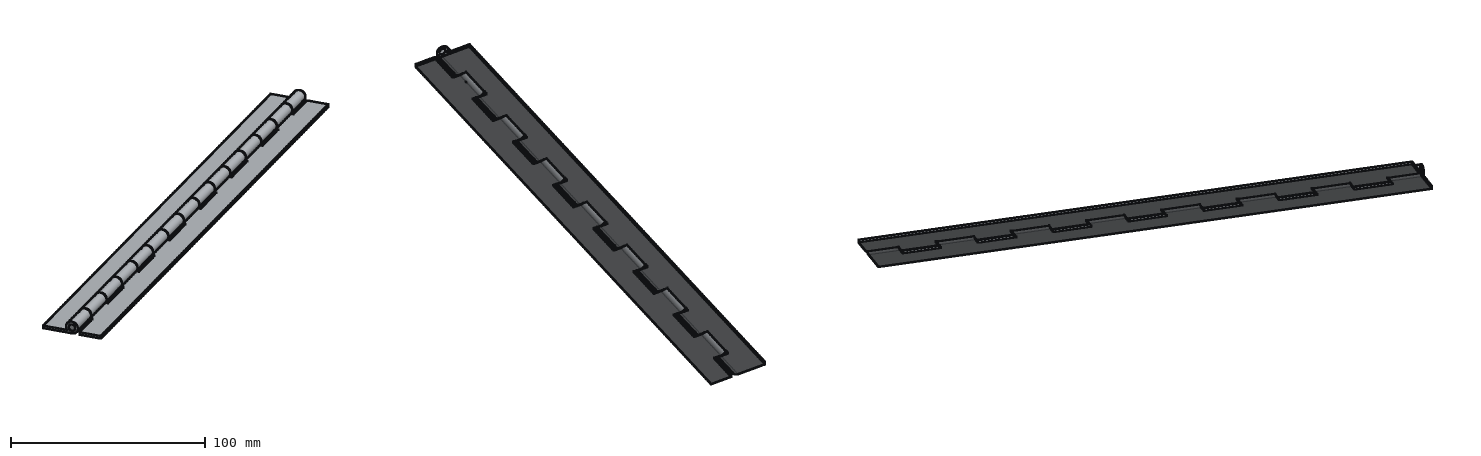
import cadquery as cq

hinge_length = 300.0
hinge_width = 32.0
leaf_thickness = 1.53

pin_diameter = 3.5
knuckle_diameter = pin_diameter + 2 * leaf_thickness
knuckle_radius = knuckle_diameter / 2
pin_height = knuckle_radius

knuckle_count = 15
knuckle_pitch = 20.5
knuckle_gap = 0.4
leaf_clearance = 0.75
notch_half_width = knuckle_radius + leaf_clearance

half_length = hinge_length / 2
end_knuckle_length = (hinge_length - (knuckle_count - 2) * knuckle_pitch - knuckle_gap) / 2


def knuckle_span(index):
    """Return the start and end along Y of one knuckle, counted from the -Y end."""
    slot_start = (index - knuckle_count / 2) * knuckle_pitch
    start = slot_start + knuckle_gap / 2
    end = slot_start + knuckle_pitch - knuckle_gap / 2
    if index == 0:
        start = -half_length
        end = start + end_knuckle_length
    elif index == knuckle_count - 1:
        end = half_length
        start = end - end_knuckle_length
    return start, end


def rod(diameter, start, end):
    """Return a cylinder on the pin axis between two Y positions."""
    face_plane = cq.Plane(origin=(0, start, pin_height), xDir=(1, 0, 0), normal=(0, 1, 0))
    return cq.Workplane(face_plane).circle(diameter / 2).extrude(end - start)


def plate(inner, outer, start, end):
    """Return a flat strip of leaf stock between two X and two Y positions."""
    strip = cq.Workplane("XY").box(outer - inner, end - start, leaf_thickness, centered=False)
    return strip.translate((inner, start, 0))


def make_leaf(first_knuckle):
    """Return the right-hand (+X) leaf carrying every second knuckle from first_knuckle on."""
    leaf = plate(notch_half_width, hinge_width / 2, -half_length, half_length)
    for index in range(first_knuckle, knuckle_count, 2):
        start, end = knuckle_span(index)
        tongue = plate(0, notch_half_width, start, end)
        leaf = leaf.union(tongue).union(rod(knuckle_diameter, start, end))
    return leaf.cut(rod(pin_diameter, -half_length, half_length))


left_leaf = make_leaf(first_knuckle=0).mirror("YZ")

right_leaf = make_leaf(first_knuckle=1)

pin = rod(pin_diameter, -half_length, half_length)

result = cq.Compound.makeCompound([left_leaf.solids().val(), right_leaf.solids().val(), pin.val()])